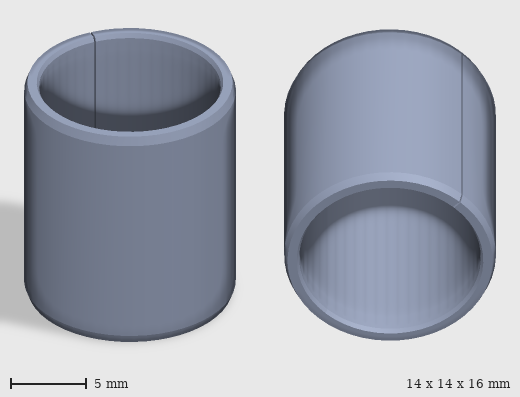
import cadquery as cq

length = 16.0
outer_diameter = 14.0
wall = 1.0
outer_radius = outer_diameter / 2
inner_radius = outer_radius - wall

outer_chamfer_height = 0.6
outer_chamfer_depth = 0.22
inner_chamfer_height = 0.3
inner_chamfer_depth = 0.16

slit_width = 0.11
slit_offset = slit_width / 2


def make_sleeve():
    """Revolve the chamfered wall section around Z."""
    half_length = length / 2
    outer_end_z = half_length - outer_chamfer_height
    inner_end_z = half_length - inner_chamfer_height
    outer_end_radius = outer_radius - outer_chamfer_depth
    inner_end_radius = inner_radius + inner_chamfer_depth
    section = [
        (inner_radius, -inner_end_z),
        (inner_end_radius, -half_length),
        (outer_end_radius, -half_length),
        (outer_radius, -outer_end_z),
        (outer_radius, outer_end_z),
        (outer_end_radius, half_length),
        (inner_end_radius, half_length),
        (inner_radius, inner_end_z),
    ]
    return cq.Workplane("XZ").polyline(section).close().revolve(360, (0, 0, 0), (0, 1, 0))


def make_slit():
    """Thin full-length block reaching from the bore out past the -X wall."""
    return (
        cq.Workplane("XY")
        .box(outer_diameter, slit_width, length)
        .translate((-outer_diameter / 2, slit_offset, 0))
    )


result = make_sleeve().cut(make_slit())